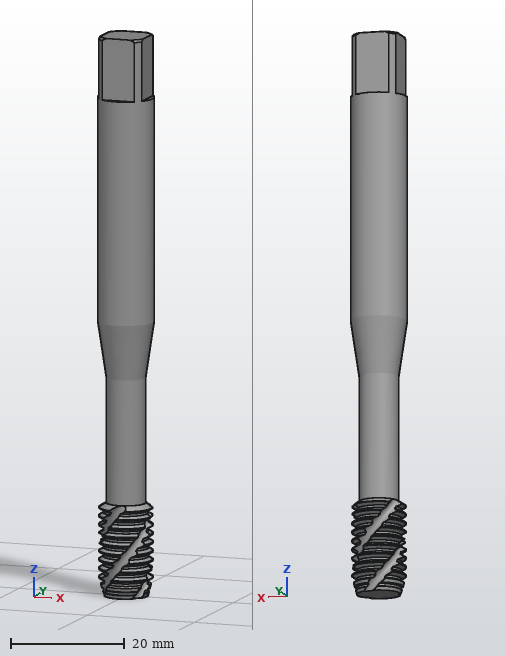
import cadquery as cq
import math

TOTAL_LENGTH = 100.0

SHANK_DIAMETER = 10.0
SQUARE_ACROSS_FLATS = 8.0
SQUARE_LENGTH = 11.0
SQUARE_END_CHAMFER = 0.4
TAPER_TOP_Z = 49.0
TAPER_LENGTH = 10.0
NECK_DIAMETER = 7.0

HEAD_LENGTH = 16.6
CREST_DIAMETER = 9.5
TIP_DIAMETER = 7.8
LEAD_IN_LENGTH = 3.2
TOP_CREST_Z = 15.8
TOOTH_RUN = 12.5
TEETH_PER_RUN = 8
TOOTH_PITCH = TOOTH_RUN / TEETH_PER_RUN
TOOTH_DEPTH = 0.8
CREST_FLAT = TOOTH_PITCH / 8
FLANK_ANGLE = 30.0

FLUTE_COUNT = 3
FLUTE_LEAD = 30.0
FLUTE_RADIUS = 1.5
FLUTE_CORE_RADIUS = 3.5
FLUTE_START_ANGLE = 80.0

shank_radius = SHANK_DIAMETER / 2
neck_radius = NECK_DIAMETER / 2
crest_radius = CREST_DIAMETER / 2
tip_radius = TIP_DIAMETER / 2
root_radius = crest_radius - TOOTH_DEPTH


def revolve_about_z(points):
    """Revolve a closed (radius, height) outline about the Z axis."""
    return cq.Workplane("XZ").polyline(points).close().revolve(360, (0, 0), (0, 1))


def make_shank():
    turned = revolve_about_z([
        (0, HEAD_LENGTH),
        (neck_radius, HEAD_LENGTH),
        (neck_radius, TAPER_TOP_Z - TAPER_LENGTH),
        (shank_radius, TAPER_TOP_Z),
        (shank_radius, TOTAL_LENGTH - SQUARE_END_CHAMFER),
        (shank_radius - SQUARE_END_CHAMFER, TOTAL_LENGTH),
        (0, TOTAL_LENGTH),
    ])
    square_base_z = TOTAL_LENGTH - SQUARE_LENGTH
    flats = (
        cq.Workplane("XY", origin=(0, 0, square_base_z))
        .rect(2 * SHANK_DIAMETER, 2 * SHANK_DIAMETER)
        .rect(SQUARE_ACROSS_FLATS, SQUARE_ACROSS_FLATS)
        .extrude(SQUARE_LENGTH)
    )
    return turned.cut(flats)


def make_head_blank():
    """Envelope of the head: lead-in cone, cylinder and rear cone down from the neck."""
    return revolve_about_z([
        (0, 0),
        (tip_radius, 0),
        (crest_radius, LEAD_IN_LENGTH),
        (crest_radius, TOP_CREST_Z),
        (neck_radius, HEAD_LENGTH),
        (0, HEAD_LENGTH),
    ])


def make_tooth_gap(crest_z):
    """Ring-shaped V groove with a flat root, just below the crest at crest_z."""
    middle_z = crest_z - TOOTH_PITCH / 2
    half_mouth = (TOOTH_PITCH - CREST_FLAT) / 2
    half_root = half_mouth - TOOTH_DEPTH * math.tan(math.radians(FLANK_ANGLE))
    return revolve_about_z([
        (crest_radius, middle_z - half_mouth),
        (root_radius, middle_z - half_root),
        (root_radius, middle_z + half_root),
        (crest_radius, middle_z + half_mouth),
    ])


def make_flute(start_angle):
    """Round-bottomed channel that climbs the head as a right-hand helix."""
    twist = 360 * HEAD_LENGTH / FLUTE_LEAD
    return (
        cq.Workplane("XY")
        .moveTo(FLUTE_CORE_RADIUS + FLUTE_RADIUS, 0)
        .circle(FLUTE_RADIUS)
        .twistExtrude(HEAD_LENGTH, twist)
        .rotate((0, 0, 0), (0, 0, 1), start_angle)
    )


def make_cutting_head():
    head = make_head_blank()
    gap_count = math.floor(TOP_CREST_Z / TOOTH_PITCH)
    for index in range(gap_count):
        head = head.cut(make_tooth_gap(TOP_CREST_Z - index * TOOTH_PITCH))
    for index in range(FLUTE_COUNT):
        head = head.cut(make_flute(FLUTE_START_ANGLE + index * 360 / FLUTE_COUNT))
    return head


shank = make_shank()
cutting_head = make_cutting_head()

result = cq.Compound.makeCompound([shank.val(), cutting_head.val()])